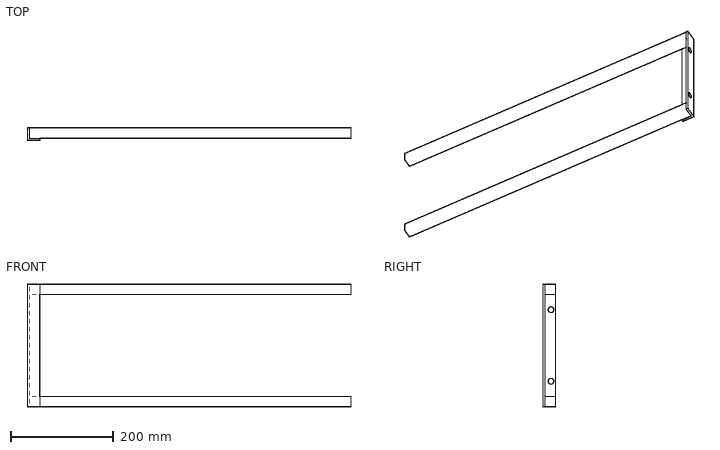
import cadquery as cq

length = 634.0
depth = 25.0
height = 240.0

leg_width = depth
wall = 4.0
hole_diameter = 11.0
hole_from_back = 9.0
hole_from_end = 50.0

rail_side = depth - wall
rail_length = length - wall
edge_radius = 2.0


def make_upright():
    """L-shaped angle with a wall-side leg at -X and a front leg at -Y."""
    angle = (
        cq.Workplane("XY")
        .polyline([
            (0, 0),
            (leg_width, 0),
            (leg_width, wall),
            (wall, wall),
            (wall, depth),
            (0, depth),
        ])
        .close()
        .extrude(height)
    )
    holes = (
        cq.Workplane("YZ")
        .pushPoints([
            (depth - hole_from_back, hole_from_end),
            (depth - hole_from_back, height - hole_from_end),
        ])
        .circle(hole_diameter / 2)
        .extrude(wall)
    )
    return angle.cut(holes)


def make_rail(bottom):
    """Square bar with rounded long edges."""
    return (
        cq.Workplane("XY")
        .box(rail_length, rail_side, rail_side, centered=False)
        .edges("|X")
        .fillet(edge_radius)
        .translate((wall, wall, bottom))
    )


upright = make_upright()
rails = [make_rail(bottom) for bottom in (0, height - rail_side)]

result = cq.Compound.makeCompound([upright.val(), *[rail.val() for rail in rails]])